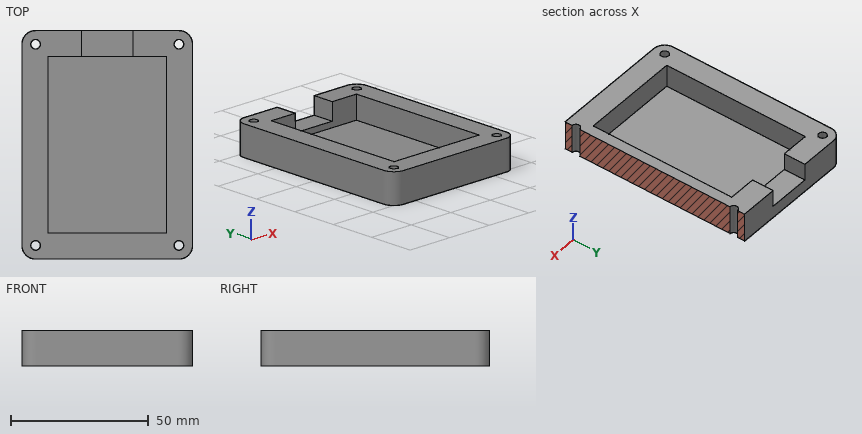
import cadquery as cq

width = 62.0
length = 83.0
height = 13.0
corner_radius = 5.0

wall = 9.5
pocket_width = width - 2 * wall
pocket_length = length - 2 * wall
pocket_depth = 10.0

slot_width = 18.6
slot_depth = 7.5

hole_diameter = 3.4
hole_spacing_x = width - 2 * corner_radius
hole_spacing_y = length - 2 * corner_radius


def make_body():
    """Block with rounded vertical edges, resting on Z = 0."""
    block = cq.Workplane("XY").box(width, length, height, centered=(True, True, False))
    return block.edges("|Z").fillet(corner_radius)


def cut_pocket(body):
    """Sink the rectangular pocket from the top face."""
    pocket = (
        cq.Workplane("XY")
        .workplane(offset=height - pocket_depth)
        .rect(pocket_width, pocket_length)
        .extrude(pocket_depth)
    )
    return body.cut(pocket)


def cut_slot(body):
    """Open the +Y wall from the pocket to the outer face."""
    slot_center_y = (length - wall) / 2
    slot = (
        cq.Workplane("XY")
        .workplane(offset=height - slot_depth)
        .center(0, slot_center_y)
        .rect(slot_width, wall)
        .extrude(slot_depth)
    )
    return body.cut(slot)


def drill_screw_holes(body):
    """Drill a through hole at each corner."""
    holes = (
        cq.Workplane("XY")
        .rect(hole_spacing_x, hole_spacing_y, forConstruction=True)
        .vertices()
        .circle(hole_diameter / 2)
        .extrude(height)
    )
    return body.cut(holes)


result = drill_screw_holes(cut_slot(cut_pocket(make_body())))